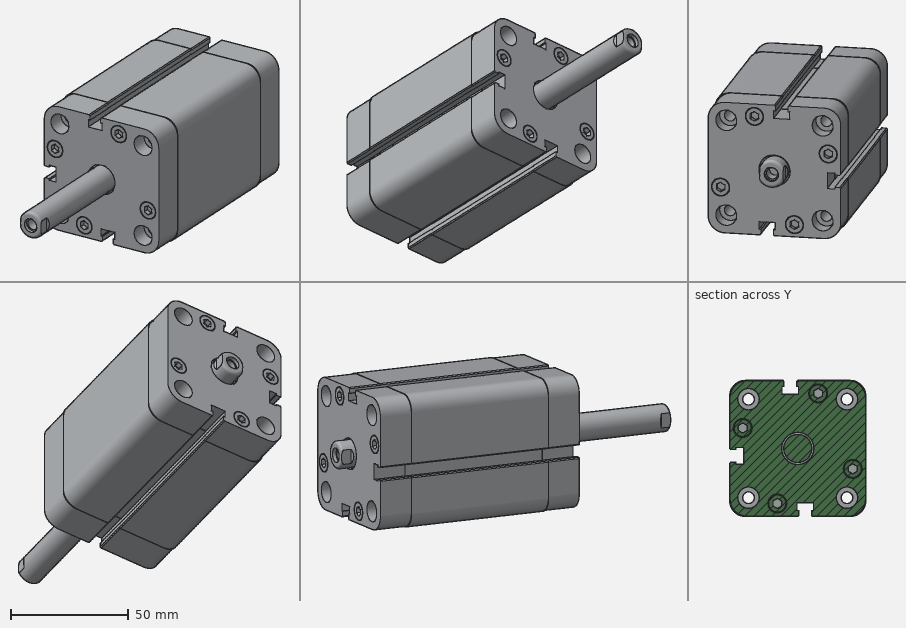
import cadquery as cq
import math


tube_side = 58.2
cap_side = 57.9
cap_length = 14.9
tube_length = 66.0
housing_length = tube_length + 2 * cap_length
cap_corner_radius = 7.3
tube_corner_radius = 6.8

total_length = 158.5
rear_rod_length = 6.3
front_rod_length = total_length - housing_length - rear_rod_length
rod_diameter = 12.0
rod_end_radius = 1.3
flat_width = 10.3
flat_length = 4.6
flat_runout = (rod_diameter - flat_width) / 2
thread_diameter = 4.9
thread_mouth_diameter = 6.2
thread_mouth_depth = 1.7
thread_depth = 12.7
drill_point_angle = 120.0
rod_clearance_diameter = 13.6
rod_clearance_depth = 1.6

slot_opening_width = 6.3
slot_mouth_width = 5.4
slot_chamfer = (slot_opening_width - slot_mouth_width) / 2
slot_offset = -slot_opening_width / 2
slot_width = 7.0
slot_depth = 5.9
slot_lip = 2.5
slot_angles = (0, 90, 180)

mount_spacing = 42.0
mount_position = mount_spacing / 2
mount_diameter = 4.9
mount_counterbore_diameter = 9.0
mount_counterbore_depth = 8.0

screw_x = 8.7
screw_z = 23.5
screw_pocket_diameter = 8.0
screw_head_diameter = 7.5
screw_head_depth = 4.8
hex_across_flats = 3.6
hex_depth = 2.5

rear_face = housing_length / 2
front_face = -rear_face
rod_rear_end = rear_face + rear_rod_length
rod_front_end = front_face - front_rod_length


def plane_at(y):
    """XZ sketch plane at the given Y whose extrusions run toward +Y."""
    return cq.Workplane(cq.Plane(origin=(0, y, 0), xDir=(-1, 0, 0), normal=(0, 1, 0)))


def cylinder(x, z, diameter, y_start, length):
    """Cylinder along +Y; the sketch plane has its local x reversed."""
    return plane_at(y_start).center(-x, z).circle(diameter / 2).extrude(length)


def both_ends(front_feature):
    """The front feature together with its mirror image on the rear."""
    return front_feature.union(front_feature.mirror("XZ"))


def make_slots(side, y_start, length):
    """T-shaped grooves with chamfered mouths on the top, left and bottom faces."""
    face = side / 2
    half_profile = [
        (0, face - slot_depth),
        (slot_width / 2, face - slot_depth),
        (slot_width / 2, face - slot_lip),
        (slot_mouth_width / 2, face - slot_lip),
        (slot_mouth_width / 2, face - slot_chamfer),
        (slot_opening_width / 2, face),
        (0, face),
    ]
    half_slot = plane_at(y_start).polyline(half_profile).close().extrude(length)
    top_slot = half_slot.union(half_slot.mirror("YZ")).translate((slot_offset, 0, 0))
    slots = cq.Workplane("XY")
    for angle in slot_angles:
        slots = slots.add(top_slot.rotate((0, 0, 0), (0, 1, 0), -angle))
    return slots.combine()


def make_slotted_block(side, y_start, length, corner_radius):
    block = plane_at(y_start).rect(side, side).extrude(length).edges("|Y").fillet(corner_radius)
    return block.cut(make_slots(side, y_start, length))


def make_housing():
    """Tube between two caps that are slightly smaller all around."""
    tube = make_slotted_block(tube_side, -tube_length / 2, tube_length, tube_corner_radius)
    front_cap = make_slotted_block(cap_side, front_face, cap_length, cap_corner_radius)
    return tube.union(both_ends(front_cap))


def make_mounting_holes():
    holes = cq.Workplane("XY")
    for x in (-mount_position, mount_position):
        for z in (-mount_position, mount_position):
            holes = holes.add(cylinder(x, z, mount_diameter, front_face, housing_length))
            counterbore = cylinder(x, z, mount_counterbore_diameter, front_face, mount_counterbore_depth)
            holes = holes.add(both_ends(counterbore))
    return holes.combine()


def make_screw_recesses():
    """Clearance rings around the screw heads and their hexagon sockets."""
    hex_corner_diameter = hex_across_flats / math.cos(math.pi / 6)
    recesses = cq.Workplane("XY")
    for x, z in (
        (screw_x, screw_z),
        (-screw_z, screw_x),
        (-screw_x, -screw_z),
        (screw_z, -screw_x),
    ):
        pocket = cylinder(x, z, screw_pocket_diameter, front_face, screw_head_depth)
        head = cylinder(x, z, screw_head_diameter, front_face, screw_head_depth)
        socket = (
            plane_at(front_face)
            .transformed(offset=(-x, z, 0), rotate=(0, 0, 90))
            .polygon(6, hex_corner_diameter)
            .extrude(hex_depth)
        )
        recesses = recesses.add(both_ends(pocket.cut(head).union(socket)))
    return recesses.combine()


def make_rod_clearance():
    return both_ends(cylinder(0, 0, rod_clearance_diameter, front_face, rod_clearance_depth))


def make_flat_cutter(y_end, inward):
    """Material beside the two wrench flats, with sloped run-outs toward the rod."""
    half_flat = flat_width / 2
    half_rod = half_flat + flat_runout
    y_flat = y_end + inward * flat_length
    y_runout = y_flat + inward * flat_runout
    outline = [(half_flat, y_end), (half_flat, y_flat), (half_rod, y_runout), (half_rod, y_end)]
    cutter = cq.Workplane("XY").polyline(outline).close().extrude(rod_diameter / 2, both=True)
    return cutter.union(cutter.mirror("YZ"))


def make_threaded_hole(y_end, inward):
    """Counterbored blind hole with a conical drill point."""
    radius = thread_diameter / 2
    mouth_radius = thread_mouth_diameter / 2
    point_depth = radius / math.tan(math.radians(drill_point_angle / 2))
    outline = [
        (0, y_end),
        (mouth_radius, y_end),
        (mouth_radius, y_end + inward * thread_mouth_depth),
        (radius, y_end + inward * thread_mouth_depth),
        (radius, y_end + inward * thread_depth),
        (0, y_end + inward * (thread_depth + point_depth)),
    ]
    return cq.Workplane("XY").polyline(outline).close().revolve(360, (0, 0, 0), (0, 1, 0))


def make_rod():
    rod = cylinder(0, 0, rod_diameter, rod_front_end, total_length)
    rod = rod.faces("<Y or >Y").edges().fillet(rod_end_radius)
    for y_end, inward in ((rod_front_end, 1), (rod_rear_end, -1)):
        rod = rod.cut(make_flat_cutter(y_end, inward))
        rod = rod.cut(make_threaded_hole(y_end, inward))
    return rod


housing = make_housing()
for cutter in (make_mounting_holes(), make_screw_recesses(), make_rod_clearance()):
    housing = housing.cut(cutter)

result = housing.union(make_rod())